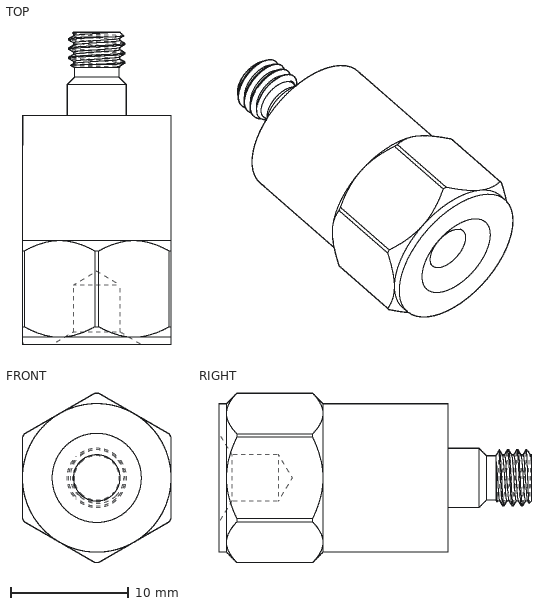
import cadquery as cq
import math


body_diameter = 12.7
body_end = 19.57
hex_sides = 6
hex_across_flats = body_diameter
hex_corner_diameter = 14.48
hex_start = 0.635
hex_end = 8.89
hex_chamfer = (hex_corner_diameter - body_diameter) / 2

stem_diameter = 5.08
stem_length = 2.64
neck_diameter = 3.81
neck_end = 23.65
overall_length = 26.69

inch = 25.4
threads_per_inch = 32
thread_pitch = inch / threads_per_inch
thread_root_diameter = 3.96
thread_major_diameter = 4.83
thread_crest_width = 0.1
thread_flank_angle = 30
thread_embed = 0.1
thread_start_angle = 160

hole_diameter = 3.97
hole_depth = 5.08
hole_tip_angle = 118
countersink_diameter = 7.62
countersink_angle = 118


def cone_height(large_diameter, small_diameter, included_angle):
    """Height of a cone between two diameters."""
    return (large_diameter - small_diameter) / 2 / math.tan(math.radians(included_angle / 2))


def flank_length(inner_radius, outer_radius):
    """Axial length of a slope at the thread flank angle between two radii."""
    return (outer_radius - inner_radius) * math.tan(math.radians(thread_flank_angle))


def revolve_profile(points):
    """Revolve a closed (radius, y) outline about the Y axis."""
    return cq.Workplane("XY").polyline(points).close().revolve(360, (0, 0, 0), (0, 1, 0))


def make_turned_body():
    body_radius = body_diameter / 2
    stem_radius = stem_diameter / 2
    neck_radius = neck_diameter / 2
    root_radius = thread_root_diameter / 2
    cone_start = body_end + stem_length
    cone_end = cone_start + stem_radius - neck_radius
    return revolve_profile([
        (0, 0),
        (body_radius, 0),
        (body_radius, body_end),
        (stem_radius, body_end),
        (stem_radius, cone_start),
        (neck_radius, cone_end),
        (neck_radius, neck_end),
        (root_radius, neck_end + flank_length(neck_radius, root_radius)),
        (root_radius, overall_length),
        (0, overall_length),
    ])


def make_hex():
    """Hex prism with corners at +Z and -Z, turned down at the corners and chamfered at both ends."""
    across_corners = hex_across_flats / math.cos(math.pi / hex_sides)
    prism = (
        cq.Workplane("XZ", origin=(0, hex_start, 0))
        .transformed(rotate=(0, 0, 90))
        .polygon(hex_sides, across_corners)
        .extrude(hex_start - hex_end)
    )
    corner_radius = hex_corner_diameter / 2
    flat_radius = hex_across_flats / 2
    envelope = revolve_profile([
        (0, hex_start),
        (flat_radius, hex_start),
        (corner_radius, hex_start + hex_chamfer),
        (corner_radius, hex_end - hex_chamfer),
        (flat_radius, hex_end),
        (0, hex_end),
    ])
    return prism.intersect(envelope)


def make_thread():
    """Right-handed helical ridge, chamfered to the root at the tip and to the neck at its start."""
    root_radius = thread_root_diameter / 2
    major_radius = thread_major_diameter / 2
    inner_radius = root_radius - thread_embed
    half_crest = thread_crest_width / 2
    half_base = half_crest + flank_length(inner_radius, major_radius)
    thread_length = overall_length - neck_end
    helix_length = thread_length + 2 * thread_pitch
    path = cq.Wire.makeHelix(thread_pitch, helix_length, root_radius)
    ridge = (
        cq.Workplane("XZ")
        .polyline([
            (inner_radius, -half_base),
            (major_radius, -half_crest),
            (major_radius, half_crest),
            (inner_radius, half_base),
        ])
        .close()
        .sweep(cq.Workplane(path), isFrenet=True)
        .rotate((0, 0, 0), (0, 0, 1), thread_start_angle)
        .rotate((0, 0, 0), (1, 0, 0), -90)
        .translate((0, neck_end - thread_pitch, 0))
    )
    neck_radius = neck_diameter / 2
    tip_chamfer = major_radius - root_radius
    limits = revolve_profile([
        (0, neck_end),
        (neck_radius, neck_end),
        (major_radius, neck_end + flank_length(neck_radius, major_radius)),
        (major_radius, overall_length - tip_chamfer),
        (root_radius, overall_length),
        (0, overall_length),
    ])
    return ridge.intersect(limits)


def make_hole():
    """Countersunk blind hole with a conical drill tip."""
    hole_radius = hole_diameter / 2
    countersink_depth = cone_height(countersink_diameter, hole_diameter, countersink_angle)
    tip_height = cone_height(hole_diameter, 0, hole_tip_angle)
    return revolve_profile([
        (0, 0),
        (countersink_diameter / 2, 0),
        (hole_radius, countersink_depth),
        (hole_radius, hole_depth),
        (0, hole_depth + tip_height),
    ])


result = make_turned_body().union(make_hex()).cut(make_hole()).union(make_thread())